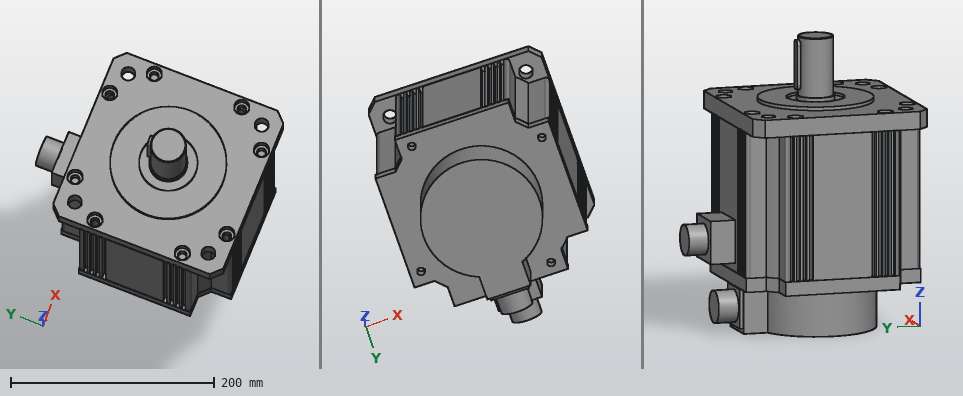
import cadquery as cq
import math


REAR_FLANGE_Z = 49.0
BODY_Z = 63.0
FRONT_FLANGE_Z = 208.5
FRONT_FACE_Z = 226.0
PILOT_TOP_Z = 229.5
COLLAR_TOP_Z = 231.3
SHAFT_TOP_Z = 291.0

FLANGE_SIDE = 180.0
FLANGE_HALF = FLANGE_SIDE / 2
CORNER_CHAMFER = 10.2
PILOT_DIAMETER = 114.7
RECESS_DIAMETER = 57.5
RECESS_DEPTH = 2.5
RECESS_FLOOR_Z = PILOT_TOP_Z - RECESS_DEPTH
MOUNT_HOLE_DIAMETER = 13.7
MOUNT_HOLE_OFFSET = 70.7

ARM_HALF = 59.0
NOTCH_DEPTH = 69.3

BODY_HALF = 89.5
ARM_FILLET = 3.2
CORE_RADIUS = math.hypot(ARM_HALF, NOTCH_DEPTH)
GROOVE_WIDTH = 3.8
GROOVE_PITCH = 6.5
GROOVE_DEPTH = 4.5
GROOVE_COUNT = 3
FIRST_GROOVE = 37.2
RAMP_INNER = 30.3
RAMP_OUTER = 34.3
RAMP_DEPTH = 5.8

SCREW_DIAMETER = 9.0
COUNTERBORE_DIAMETER = 15.0
COUNTERBORE_DEPTH = 8.7
TIE_SCREW = (45.7, 80.3)
BLIND_SCREW = (-46.9, 80.0)
TIE_HOLE_DIAMETER = 8.0
TIE_HOLE = (45.5, 78.5)

SHAFT_DIAMETER = 35.0
SHAFT_CHAMFER = 1.0
COLLAR_DIAMETER = 37.8
KEY_WIDTH = 10.2
KEY_LENGTH = 50.0
KEY_BOTTOM_Z = 237.5
KEY_SEAT_Y = 12.5
KEY_TOP_Y = 20.5

CAP_DIAMETER = 120.2
SOCKET_X = 1.0
SOCKET_WIDTH = 45.0
CAP_BLOCK_Y = 80.5

POWER_Z = 93.0
POWER_BLOCK_HEIGHT = 43.0
POWER_BLOCK_Y = 115.0
POWER_PLUG_DIAMETER = 30.8
OVERALL_DEPTH = 225.0
POWER_PLUG_Y = OVERALL_DEPTH - FLANGE_HALF
ENCODER_Z = 24.7
ENCODER_PLATE_SIDE = 39.5
ENCODER_PLATE_Y = 84.0
ENCODER_PLUG_DIAMETER = 32.5
ENCODER_PLUG_Y = 104.5


def quarter_turns(point):
    """The point and its copies after one, two and three quarter turns about the axis."""
    x, y = point
    return [(x, y), (-y, x), (-x, -y), (y, -x)]


def cylinder(diameter, bottom, top):
    return cq.Workplane("XY").workplane(offset=bottom).circle(diameter / 2).extrude(top - bottom)


def holes(points, diameter, bottom, top):
    plane = cq.Workplane("XY").workplane(offset=bottom)
    return plane.pushPoints(points).circle(diameter / 2).extrude(top - bottom)


def box_along_y(width, height, z, start, end):
    """A block on the connectors' plane, centred on height z and running from y = start to end."""
    return cq.Workplane("XY").box(width, end - start, height).translate((SOCKET_X, (start + end) / 2, z))


def plug_along_y(diameter, z, start, end):
    """A round plug on the connectors' plane, pointing along +Y."""
    plane = cq.Workplane("XZ", origin=(SOCKET_X, start, z))
    return plane.circle(diameter / 2).extrude(start - end)


def plate(width, depth, bottom, top):
    return cq.Workplane("XY").workplane(offset=bottom).rect(width, depth).extrude(top - bottom)


def square_core(bottom, top):
    """The square that closes off the corner notches."""
    return plate(2 * NOTCH_DEPTH, 2 * NOTCH_DEPTH, bottom, top)


def cross(half, bottom, top, fillet=0):
    """Two crossing bars that form four arms, with the arm corners rounded if a fillet is given."""
    along_x = plate(2 * half, 2 * ARM_HALF, bottom, top)
    along_y = plate(2 * ARM_HALF, 2 * half, bottom, top)
    if fillet > 0:
        along_x = along_x.edges("|Z").fillet(fillet)
        along_y = along_y.edges("|Z").fillet(fillet)
    return along_x.union(along_y)


def make_front_flange():
    flange = plate(FLANGE_SIDE, FLANGE_SIDE, FRONT_FLANGE_Z, FRONT_FACE_Z)
    flange = flange.edges("|Z").chamfer(CORNER_CHAMFER)
    flange = flange.union(cylinder(PILOT_DIAMETER, FRONT_FACE_Z, PILOT_TOP_Z))
    flange = flange.cut(cylinder(RECESS_DIAMETER, RECESS_FLOOR_Z, PILOT_TOP_Z))

    corners = quarter_turns((MOUNT_HOLE_OFFSET, MOUNT_HOLE_OFFSET))
    flange = flange.cut(holes(corners, MOUNT_HOLE_DIAMETER, FRONT_FLANGE_Z, FRONT_FACE_Z))

    screws = quarter_turns(TIE_SCREW) + quarter_turns(BLIND_SCREW)
    flange = flange.cut(holes(screws, SCREW_DIAMETER, FRONT_FLANGE_Z, FRONT_FACE_Z))
    seat_z = FRONT_FACE_Z - COUNTERBORE_DEPTH
    return flange.cut(holes(screws, COUNTERBORE_DIAMETER, seat_z, FRONT_FACE_Z))


def cut_grooves(body):
    """Cut the cooling grooves beside the flat centre of all four body sides."""
    height = FRONT_FLANGE_Z - BODY_Z
    plane = cq.Workplane("XY").workplane(offset=BODY_Z)
    grooves = [plane.polyline([
        (RAMP_INNER, BODY_HALF),
        (RAMP_INNER, BODY_HALF - GROOVE_DEPTH),
        (RAMP_OUTER, BODY_HALF - RAMP_DEPTH),
        (RAMP_OUTER, BODY_HALF),
    ]).close().extrude(height)]
    for i in range(GROOVE_COUNT):
        x = FIRST_GROOVE + i * GROOVE_PITCH + GROOVE_WIDTH / 2
        y = BODY_HALF - GROOVE_DEPTH / 2
        grooves.append(plane.center(x, y).rect(GROOVE_WIDTH, GROOVE_DEPTH).extrude(height))
    for groove in grooves:
        for half_side in (groove, groove.mirror("YZ")):
            for turn in range(4):
                body = body.cut(half_side.rotate((0, 0, 0), (0, 0, 1), 90 * turn))
    return body


def make_body():
    """Four rounded arms around a core whose corners are arcs about the shaft axis."""
    core = square_core(BODY_Z, FRONT_FLANGE_Z)
    core = core.intersect(cylinder(2 * CORE_RADIUS, BODY_Z, FRONT_FLANGE_Z))
    body = core.union(cross(BODY_HALF, BODY_Z, FRONT_FLANGE_Z, ARM_FILLET))
    body = cut_grooves(body)
    return body.cut(holes(quarter_turns(TIE_HOLE), TIE_HOLE_DIAMETER, BODY_Z, FRONT_FLANGE_Z))


def make_rear_flange():
    """Four sharp arms around a core with flat chamfered corners."""
    core = square_core(REAR_FLANGE_Z, BODY_Z).edges("|Z").chamfer(NOTCH_DEPTH - ARM_HALF)
    flange = core.union(cross(FLANGE_HALF, REAR_FLANGE_Z, BODY_Z))
    return flange.cut(holes(quarter_turns(TIE_HOLE), TIE_HOLE_DIAMETER, REAR_FLANGE_Z, BODY_Z))


def make_key():
    """Parallel key with round ends, lying along the shaft."""
    middle_z = KEY_BOTTOM_Z + KEY_LENGTH / 2
    plane = cq.Workplane("XZ", origin=(0, KEY_SEAT_Y, middle_z))
    return plane.slot2D(KEY_LENGTH, KEY_WIDTH, 90).extrude(KEY_SEAT_Y - KEY_TOP_Y)


def make_shaft(key):
    """Shaft with a collar standing on the recess floor and a seat that the key fills."""
    shaft = cylinder(SHAFT_DIAMETER, RECESS_FLOOR_Z, SHAFT_TOP_Z).faces(">Z").chamfer(SHAFT_CHAMFER)
    shaft = shaft.union(cylinder(COLLAR_DIAMETER, RECESS_FLOOR_Z, COLLAR_TOP_Z))
    return shaft.cut(key)


def make_encoder_cap():
    cap = cylinder(CAP_DIAMETER, 0, REAR_FLANGE_Z)
    block = box_along_y(SOCKET_WIDTH, REAR_FLANGE_Z, REAR_FLANGE_Z / 2, 0, CAP_BLOCK_Y)
    return cap.union(block)


def make_power_connector():
    block = box_along_y(SOCKET_WIDTH, POWER_BLOCK_HEIGHT, POWER_Z, BODY_HALF, POWER_BLOCK_Y)
    return block.union(plug_along_y(POWER_PLUG_DIAMETER, POWER_Z, POWER_BLOCK_Y, POWER_PLUG_Y))


def make_encoder_connector():
    base = box_along_y(ENCODER_PLATE_SIDE, ENCODER_PLATE_SIDE, ENCODER_Z, CAP_BLOCK_Y, ENCODER_PLATE_Y)
    return base.union(plug_along_y(ENCODER_PLUG_DIAMETER, ENCODER_Z, ENCODER_PLATE_Y, ENCODER_PLUG_Y))


front_flange = make_front_flange()
body = make_body()
rear_flange = make_rear_flange()
key = make_key()
shaft = make_shaft(key)
encoder_cap = make_encoder_cap()
power_connector = make_power_connector()
encoder_connector = make_encoder_connector()

result = cq.Compound.makeCompound([
    front_flange.val(),
    body.val(),
    rear_flange.val(),
    shaft.val(),
    key.val(),
    encoder_cap.val(),
    power_connector.val(),
    encoder_connector.val(),
])